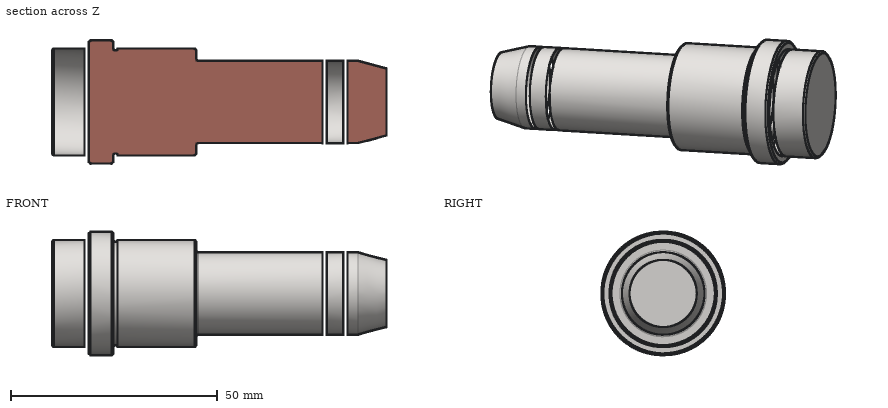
import cadquery as cq
import math

total_length = 81.0
body_radius = 26.0 / 2
flange_radius = 30.0 / 2
shaft_radius = 20.0 / 2

flange_start = 8.9
flange_length = 6.0
body_end = 35.0
edge_chamfer = 0.5
neck_fillet = 0.5

groove_radius = 0.5
shaft_groove_centers = (66.0, 71.0)

taper_length = 7.0
taper_angle = 15.0

flange_end = flange_start + flange_length
tip_radius = shaft_radius - taper_length * math.tan(math.radians(taper_angle))
body_groove_centers = (flange_start - groove_radius, flange_end + groove_radius)


def cylinder(start, end, radius):
    """Solid cylinder along X from start to end."""
    return cq.Workplane("YZ", origin=(start, 0, 0)).circle(radius).extrude(end - start)


def ring_groove(center, surface_radius):
    """Torus that cuts a half-round groove into a cylinder of surface_radius."""
    return (
        cq.Workplane("XY")
        .center(center, surface_radius)
        .circle(groove_radius)
        .revolve(360, (0, -surface_radius, 0), (1, -surface_radius, 0))
    )


body = cylinder(0, body_end, body_radius).edges().chamfer(edge_chamfer)
for center in body_groove_centers:
    body = body.cut(ring_groove(center, body_radius))
flange = cylinder(flange_start, flange_end, flange_radius).edges().chamfer(edge_chamfer)

taper_start = total_length - taper_length
fillet_middle = neck_fillet * (1 - math.sqrt(0.5))
shaft = (
    cq.Workplane("XY")
    .moveTo(body_end, 0)
    .lineTo(body_end, shaft_radius + neck_fillet)
    .threePointArc(
        (body_end + fillet_middle, shaft_radius + fillet_middle),
        (body_end + neck_fillet, shaft_radius),
    )
    .lineTo(taper_start, shaft_radius)
    .lineTo(total_length, tip_radius)
    .lineTo(total_length, 0)
    .close()
    .revolve(360, (0, 0, 0), (1, 0, 0))
)
for center in shaft_groove_centers:
    shaft = shaft.cut(ring_groove(center, shaft_radius))

result = body.union(flange).union(shaft)